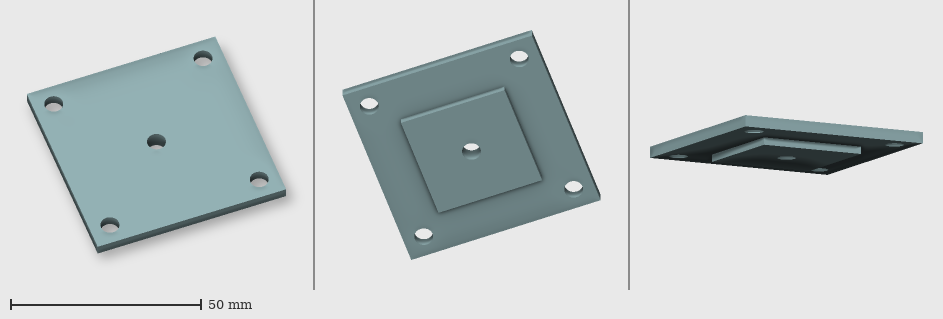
import cadquery as cq

plate_side = 53.0
plate_thickness = 3.0
total_height = 5.0

pad_side = 29.0
pad_thickness = total_height - plate_thickness

hole_diameter = 5.0
hole_spacing = 42.0

pad = cq.Workplane("XY").rect(pad_side, pad_side).extrude(pad_thickness)

plate = (
    cq.Workplane("XY")
    .workplane(offset=pad_thickness)
    .rect(plate_side, plate_side)
    .extrude(plate_thickness)
)

holes = (
    cq.Workplane("XY")
    .rect(hole_spacing, hole_spacing, forConstruction=True)
    .vertices()
    .circle(hole_diameter / 2)
    .extrude(total_height)
    .union(cq.Workplane("XY").circle(hole_diameter / 2).extrude(total_height))
)

result = plate.union(pad).cut(holes)